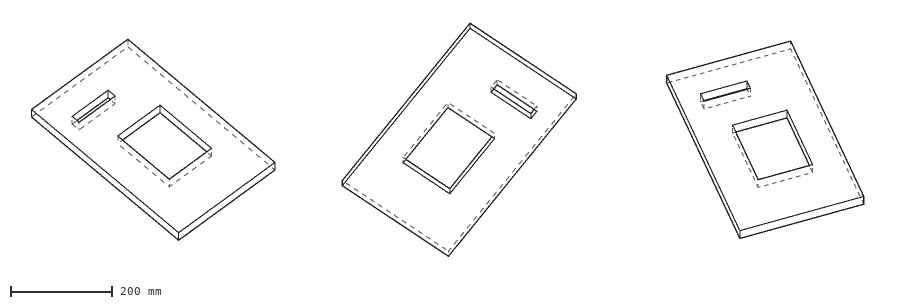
import cadquery as cq

plate_length = 423.5
plate_width = 258.8
plate_thickness = 24.0

window_length = 148.2
window_width = 113.5
window_left = 164.5
window_front = 78.5

slot_length = 20.0
slot_width = 96.5
slot_left = 67.5
slot_front = 46.5


def block(length, width, left=0, front=0):
    """Full-thickness block placed by its left and front edges."""
    return cq.Workplane("XY").box(length, width, plate_thickness, centered=False).translate((left, front, 0))


plate = block(plate_length, plate_width)
window = block(window_length, window_width, window_left, window_front)
slot = block(slot_length, slot_width, slot_left, slot_front)

result = plate.cut(window).cut(slot)